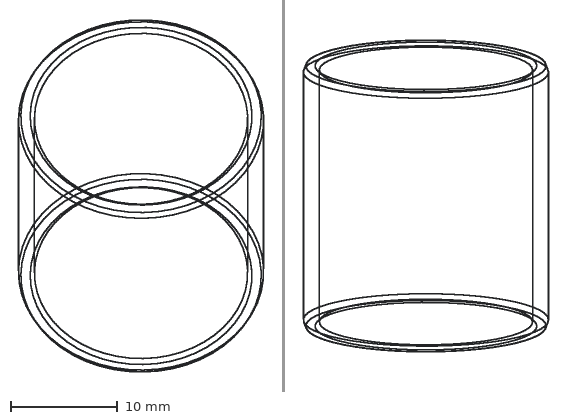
import cadquery as cq

length = 25.0
outer_diameter = 23.0
bore_diameter = 20.0

outer_chamfer_height = 0.6
outer_chamfer_depth = 0.22

bore_chamfer = 0.4

outer_radius = outer_diameter / 2
bore_radius = bore_diameter / 2
half_length = length / 2
end_outer_radius = outer_radius - outer_chamfer_depth
end_bore_radius = bore_radius + bore_chamfer

wall_section = (
    cq.Workplane("XZ")
    .moveTo(bore_radius, -half_length + bore_chamfer)
    .lineTo(end_bore_radius, -half_length)
    .lineTo(end_outer_radius, -half_length)
    .lineTo(outer_radius, -half_length + outer_chamfer_height)
    .lineTo(outer_radius, half_length - outer_chamfer_height)
    .lineTo(end_outer_radius, half_length)
    .lineTo(end_bore_radius, half_length)
    .lineTo(bore_radius, half_length - bore_chamfer)
    .close()
)

result = wall_section.revolve(360, (0, 0, 0), (0, 1, 0))